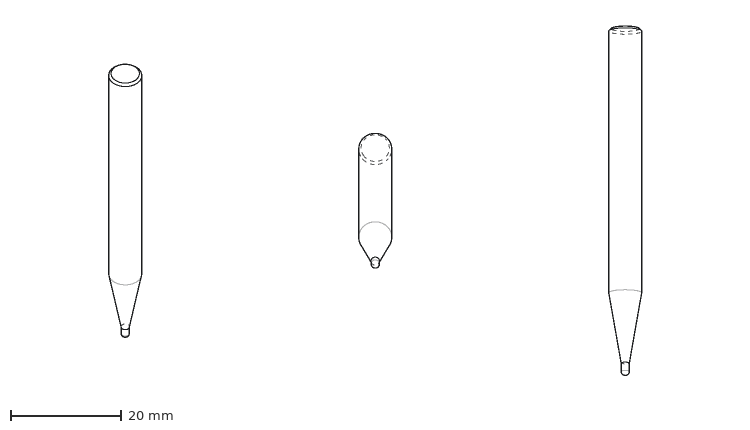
import cadquery as cq
import math

total_length = 64.0
shank_diameter = 6.0
shank_chamfer = 0.45
taper_top = 15.2
head_length = 2.3
head_diameter = 1.55

shank_radius = shank_diameter / 2
head_radius = head_diameter / 2


def make_shank():
    """Cylindrical shank, chamfered at the top and tapering down to the cutting head."""
    return (
        cq.Workplane("XZ")
        .moveTo(0, head_length)
        .lineTo(head_radius, head_length)
        .lineTo(shank_radius, taper_top)
        .lineTo(shank_radius, total_length - shank_chamfer)
        .lineTo(shank_radius - shank_chamfer, total_length)
        .lineTo(0, total_length)
        .close()
        .revolve(360, (0, 0), (0, 1))
    )


def make_cutting_head():
    """Short cylinder with a hemispherical nose, butted against the shank's small end."""
    arc_offset = head_radius * math.sqrt(0.5)
    return (
        cq.Workplane("XZ")
        .moveTo(0, 0)
        .threePointArc((arc_offset, head_radius - arc_offset), (head_radius, head_radius))
        .lineTo(head_radius, head_length)
        .lineTo(0, head_length)
        .close()
        .revolve(360, (0, 0), (0, 1))
    )


shank = make_shank()
cutting_head = make_cutting_head()

result = cq.Compound.makeCompound([shank.val(), cutting_head.val()])